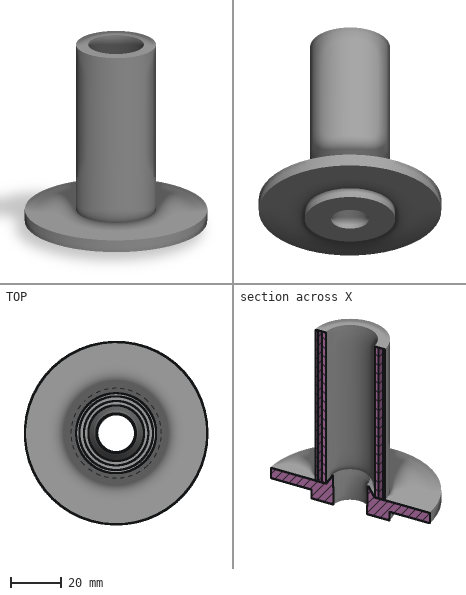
import cadquery as cq

total_height = 79.0
spigot_height = 4.0
flange_thickness = 5.0
flange_top = spigot_height + flange_thickness
tube_height = total_height - flange_top

flange_diameter = 73.0
spigot_diameter = 36.0
outer_tube_diameter = 32.0
middle_tube_diameter = 29.5
inner_tube_diameter = 25.75
bore_diameter = 22.3
cone_tip_diameter = 15.8
outlet_diameter = 15.2

cone_height = 5.0


def make_base():
    """Flange with a spigot below, a cone above and a tapered through bore, revolved about Z."""
    return (
        cq.Workplane("XZ")
        .moveTo(outlet_diameter / 2, 0)
        .lineTo(spigot_diameter / 2, 0)
        .lineTo(spigot_diameter / 2, spigot_height)
        .lineTo(flange_diameter / 2, spigot_height)
        .lineTo(flange_diameter / 2, flange_top)
        .lineTo(bore_diameter / 2, flange_top)
        .lineTo(cone_tip_diameter / 2, flange_top + cone_height)
        .close()
        .revolve(360, (0, 0, 0), (0, 1, 0))
    )


def make_tube(outside, inside):
    """Plain sleeve standing on the flange and reaching the full height."""
    return (
        cq.Workplane("XY", origin=(0, 0, flange_top))
        .circle(outside / 2)
        .circle(inside / 2)
        .extrude(tube_height)
    )


base = make_base()
outer_tube = make_tube(outer_tube_diameter, middle_tube_diameter)
middle_tube = make_tube(middle_tube_diameter, inner_tube_diameter)
inner_tube = make_tube(inner_tube_diameter, bore_diameter)

result = cq.Compound.makeCompound(
    [base.val(), outer_tube.val(), middle_tube.val(), inner_tube.val()]
)